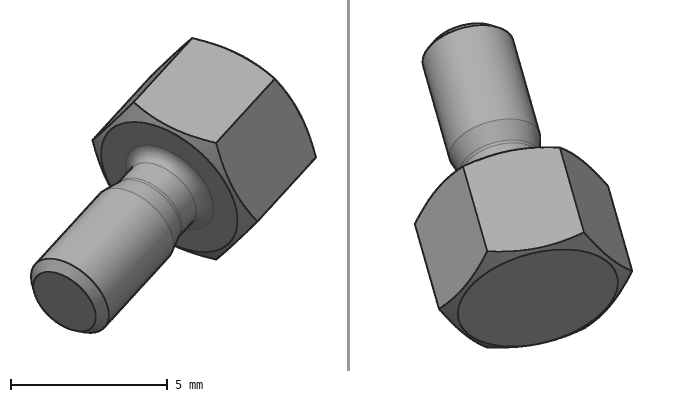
import cadquery as cq
import math

total_length = 10.0
head_length = 4.0
across_flats = 5.5
head_face_diameter = 5.25
head_chamfer_angle = math.radians(30)
stud_diameter = 3.0
tip_chamfer = 0.3
neck_diameter = 2.6
neck_fillet = 0.4
relief_length = 2.0
neck_straight_end = 1.2
flare_angle = math.radians(15)

tip_y = -total_length / 2
back_y = total_length / 2
head_y = back_y - head_length

across_corners = across_flats / math.cos(math.radians(30))
corner_radius = across_corners / 2
face_radius = head_face_diameter / 2
stud_radius = stud_diameter / 2
neck_radius = neck_diameter / 2
chamfer_depth = (corner_radius - face_radius) * math.tan(head_chamfer_angle)


def make_head():
    """Hexagon with flats facing +Z and -Z, its corners turned conical at both ends."""
    hexagon = (
        cq.Workplane("XZ", origin=(0, back_y, 0))
        .polygon(6, across_corners)
        .extrude(head_length)
    )
    corner_cone = (
        cq.Workplane("XY")
        .moveTo(0, head_y)
        .lineTo(face_radius, head_y)
        .lineTo(corner_radius, head_y + chamfer_depth)
        .lineTo(corner_radius, back_y - chamfer_depth)
        .lineTo(face_radius, back_y)
        .lineTo(0, back_y)
        .close()
        .revolve(360, (0, 0, 0), (0, 1, 0))
    )
    return hexagon.intersect(corner_cone)


def make_stud():
    """Chamfered stud with a reduced neck that flares to the stud and blends into the head."""
    flare_end_y = head_y - relief_length
    flare_start_y = head_y - neck_straight_end
    flare_rise = stud_radius - neck_radius
    flare_run = flare_start_y - flare_end_y
    tangent_length = flare_run - flare_rise / math.tan(flare_angle)
    blend_radius = tangent_length / math.tan(flare_angle / 2)
    blend_end_radius = neck_radius + blend_radius * (1 - math.cos(flare_angle))
    blend_end_y = flare_start_y - blend_radius * math.sin(flare_angle)
    blend_mid_radius = neck_radius + blend_radius * (1 - math.cos(flare_angle / 2))
    blend_mid_y = flare_start_y - blend_radius * math.sin(flare_angle / 2)
    fillet_mid_offset = neck_fillet * (1 - math.sqrt(0.5))

    profile = (
        cq.Workplane("XY")
        .moveTo(0, tip_y)
        .lineTo(stud_radius - tip_chamfer, tip_y)
        .lineTo(stud_radius, tip_y + tip_chamfer)
        .lineTo(stud_radius, flare_end_y)
        .lineTo(blend_end_radius, blend_end_y)
        .threePointArc((blend_mid_radius, blend_mid_y), (neck_radius, flare_start_y))
        .lineTo(neck_radius, head_y - neck_fillet)
        .threePointArc(
            (neck_radius + fillet_mid_offset, head_y - fillet_mid_offset),
            (neck_radius + neck_fillet, head_y),
        )
        .lineTo(0, head_y)
        .close()
    )
    return profile.revolve(360, (0, 0, 0), (0, 1, 0))


result = make_head().union(make_stud())